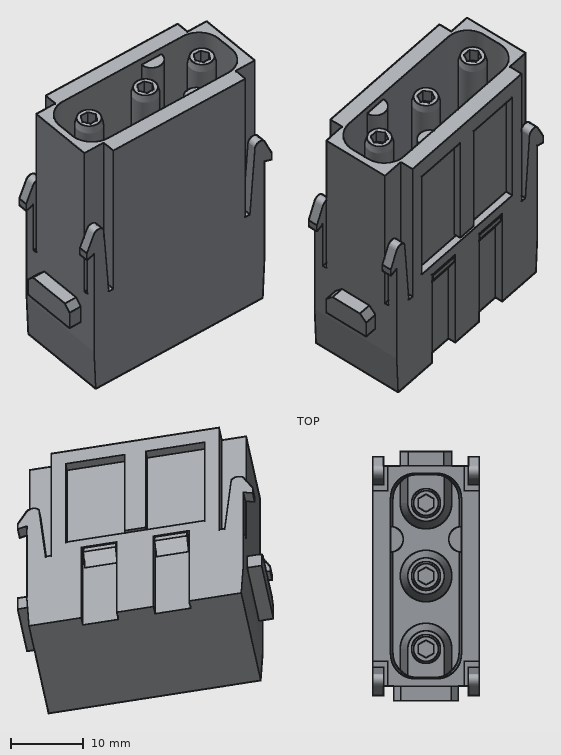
import cadquery as cq
import math

body_x = 14.65
body_y = 30.2
height = 42.0
taper_z = 7.0
taper_inset = 0.3

cavity_x = 9.75
cavity_y = 28.2
cavity_corner_r = 3.475
cavity_floor_z = 22.0
cavity_depth = height - cavity_floor_z
cavity_draft = 1.0

contact_pitch = 10.0
contact_ys = (-contact_pitch, 0.0, contact_pitch)
pin_d = 3.97
pin_rim_d = 3.4
pin_rim_h = 1.1
pin_top_z = height
hex_flats = 2.1
hex_depth = 2.0

collar_base_d = 7.07
collar_top_d = 5.0
collar_h = 7.0

key_d = 3.5
key_y = 5.04
key_top_z = 40.9

notch_x = 2.1
notch_y = 3.4
notch_z = 16.6
arm_x = 1.5
arm_foot_y = 12.5
arm_neck_y = 13.4
arm_neck_z = 28.35
arm_tip_y = 14.26
arm_tip_z = 29.05
arm_shoulder_y = 15.15
arm_shoulder_z = 28.5
barb_y = 16.38
barb_top_z = 25.75
barb_tip_z = 24.5
barb_root_z = 24.9

lug_span_y = 34.2
lug_bottom_z = 10.45
lug_top_z = 14.3
front_lug_x = 8.9
front_lug_chamfer = 1.0
back_lug_x = 7.07
back_lug_chamfer = 1.1

panel_y = 19.4
panel_bottom_z = 19.4
panel_top_z = 38.9
panel_depth = 1.1
rib_y = 2.95
rib_bottom_z = 20.0

slot_y = 4.96
slot_centre_y = 5.04
slot_top_z = 17.5
slot_depth = 1.2
catch_y = 4.5
catch_centre_y = 4.98
catch_top_z = 17.23
catch_edge_z = 16.3
catch_bottom_z = 14.13


def box(x0, x1, y0, y1, z0, z1):
    return cq.Workplane("XY").box(x1 - x0, y1 - y0, z1 - z0, centered=False).translate((x0, y0, z0))


def housing():
    half = body_y / 2
    foot_half = half - taper_inset
    outline = [
        (-foot_half, 0),
        (foot_half, 0),
        (half, taper_z),
        (half, height),
        (-half, height),
        (-half, taper_z),
    ]
    return cq.Workplane("YZ").polyline(outline).close().extrude(body_x / 2, both=True)


def cavity():
    return (
        cq.Workplane("XY", origin=(0, 0, height))
        .sketch()
        .rect(cavity_x, cavity_y)
        .vertices()
        .fillet(cavity_corner_r)
        .finalize()
        .extrude(-cavity_depth, taper=cavity_draft)
    )


def collar(y):
    base_r = collar_base_d / 2
    top_r = collar_top_d / 2
    cone = cq.Workplane("XY").add(cq.Solid.makeCone(base_r, top_r, collar_h))
    cone = cone.translate((0, y, cavity_floor_z))
    if y == 0:
        return cone
    profile = [(-base_r, 0), (base_r, 0), (top_r, collar_h), (-top_r, collar_h)]
    wall_middle_y = (body_y + cavity_y) / 4
    run = wall_middle_y - abs(y)
    bridge = (
        cq.Workplane("XZ", origin=(0, 0, cavity_floor_z))
        .polyline(profile)
        .close()
        .extrude(-math.copysign(run, y))
        .translate((0, y, 0))
    )
    return cone.union(bridge)


def pin(y):
    pin_r = pin_d / 2
    rim_r = pin_rim_d / 2
    profile = [
        (0, cavity_floor_z),
        (pin_r, cavity_floor_z),
        (pin_r, pin_top_z - pin_rim_h),
        (rim_r, pin_top_z),
        (0, pin_top_z),
    ]
    shaft = cq.Workplane("XZ").polyline(profile).close().revolve(360, (0, 0, 0), (0, 1, 0))
    hex_corners = hex_flats / math.cos(math.radians(30))
    socket = (
        cq.Workplane("XY", origin=(0, 0, pin_top_z - hex_depth))
        .transformed(rotate=(0, 0, 90))
        .polygon(6, hex_corners)
        .extrude(hex_depth)
    )
    return shaft.cut(socket).translate((0, y, 0))


def keys():
    return (
        cq.Workplane("XY", origin=(0, 0, cavity_floor_z))
        .pushPoints([(-cavity_x / 2, key_y), (cavity_x / 2, key_y)])
        .circle(key_d / 2)
        .extrude(key_top_z - cavity_floor_z)
    )


def notch():
    x1 = body_x / 2
    y1 = body_y / 2
    return box(x1 - notch_x, x1, y1 - notch_y, y1, notch_z, height)


def snap_arm():
    wall_y = body_y / 2
    return (
        cq.Workplane("YZ", origin=(body_x / 2 - arm_x, 0, 0))
        .moveTo(arm_foot_y, notch_z)
        .lineTo(arm_neck_y, arm_neck_z)
        .threePointArc((arm_tip_y, arm_tip_z), (arm_shoulder_y, arm_shoulder_z))
        .lineTo(barb_y, barb_top_z)
        .lineTo(barb_y, barb_tip_z)
        .lineTo(wall_y, barb_root_z)
        .lineTo(wall_y, notch_z)
        .close()
        .extrude(arm_x)
    )


def at_four_corners(shape):
    both_ends = shape.union(shape.mirror("XZ"))
    return both_ends.union(both_ends.mirror("YZ"))


def lug(width, chamfer, side):
    wall_y = body_y / 2
    half = width / 2
    outline = [
        (-half, lug_bottom_z),
        (half, lug_bottom_z),
        (half, lug_top_z - chamfer),
        (half - chamfer, lug_top_z),
        (chamfer - half, lug_top_z),
        (-half, lug_top_z - chamfer),
    ]
    root_y = wall_y - taper_inset
    return (
        cq.Workplane("XZ", origin=(0, side * root_y, 0))
        .polyline(outline)
        .close()
        .extrude(-side * (lug_span_y / 2 - root_y))
    )


def panel_recess():
    x0 = -body_x / 2
    x1 = x0 + panel_depth
    recess = box(x0, x1, -panel_y / 2, panel_y / 2, panel_bottom_z, panel_top_z)
    rib = box(x0, x1, -rib_y / 2, rib_y / 2, rib_bottom_z, panel_top_z)
    return recess.cut(rib)


def contact_slot(side):
    x0 = -body_x / 2
    x1 = x0 + slot_depth
    y_mid = side * slot_centre_y
    slot = box(x0, x1, y_mid - slot_y / 2, y_mid + slot_y / 2, 0, slot_top_z)
    catch = (
        cq.Workplane("XZ", origin=(0, side * catch_centre_y, 0))
        .polyline([(x1, catch_bottom_z), (x0, catch_edge_z), (x0, catch_top_z), (x1, catch_top_z)])
        .close()
        .extrude(catch_y / 2, both=True)
    )
    return slot.cut(catch)


part = housing().cut(cavity())
for contact_y in contact_ys:
    part = part.union(collar(contact_y)).union(pin(contact_y))
part = part.union(keys())
part = part.cut(at_four_corners(notch())).union(at_four_corners(snap_arm()))
part = part.union(lug(front_lug_x, front_lug_chamfer, -1)).union(lug(back_lug_x, back_lug_chamfer, 1))
part = part.cut(panel_recess())
for slot_side in (-1, 1):
    part = part.cut(contact_slot(slot_side))

result = part